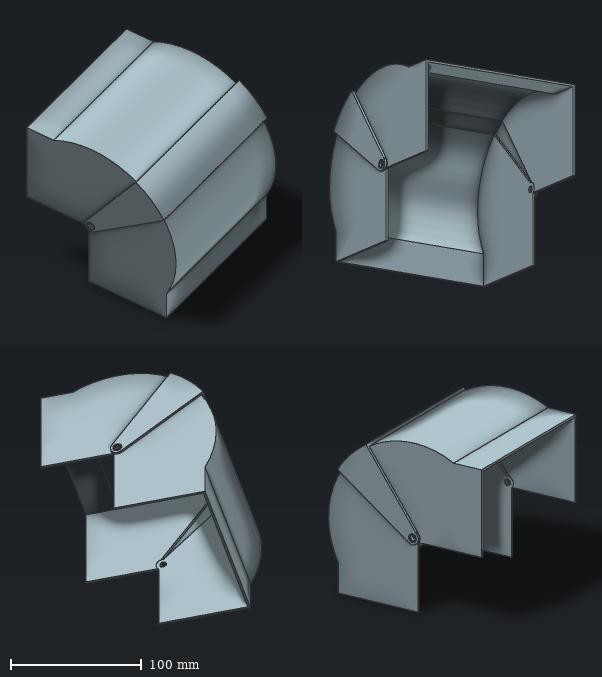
import cadquery as cq
import math

WALL = 1.8
CLEARANCE = 0.5
HOOD_WIDTH = 139.4
LEG_WIDTH = HOOD_WIDTH - 2 * (WALL + CLEARANCE)

LEG_RADIUS = 77.8
HOOD_RADIUS = LEG_RADIUS + CLEARANCE + WALL
ROOF_HEIGHT = 69.0
LEG_REACH = 61.2
SKIRT_DEPTH = 3.5

LUG_RADIUS = 5.5
HOOD_HOLE_RADIUS = 3.5
TRUNNION_RADIUS = 3.2
BORE_RADIUS = 2.5

HOOD_START = 35.6
HOOD_END = 90 - HOOD_START
INNER_LEG_EDGE = 44.2
INNER_EDGE_OFFSET = 3.5
WEB = 1.1


def direction(angle):
    """Unit X, Z vector at an angle from +Z."""
    return math.sin(math.radians(angle)), math.cos(math.radians(angle))


def edge_point(angle, offset, radius):
    """Point at a radius on a line parallel to a direction, offset to its left (right if negative)."""
    ux, uz = direction(angle)
    along = math.sqrt(radius**2 - offset**2)
    return along * ux - offset * uz, along * uz + offset * ux


def cylinder(radius, width):
    """Cylinder on the hinge axis, centred across Y."""
    return cq.Workplane("XZ").circle(radius).extrude(width / 2, both=True)


def leg_block(radius, roof, width, edge_angle, edge_offset):
    """Solid leg: flat roof, then an arc about the hinge up to a straight edge."""
    arc_start_x = -math.sqrt(radius**2 - roof**2)
    return (
        cq.Workplane("XZ")
        .moveTo(-LEG_REACH, -SKIRT_DEPTH)
        .lineTo(-LEG_REACH, roof)
        .lineTo(arc_start_x, roof)
        .threePointArc((0, radius), edge_point(edge_angle, edge_offset, radius))
        .lineTo(*edge_point(edge_angle, edge_offset, abs(edge_offset)))
        .lineTo(0, 0)
        .lineTo(0, -SKIRT_DEPTH)
        .close()
        .extrude(width / 2, both=True)
    )


def leg_shell(edge_angle, edge_offset):
    """Leg of sheet thickness, open at the mouth, below and at its curved end."""
    outside = leg_block(LEG_RADIUS, ROOF_HEIGHT, LEG_WIDTH, edge_angle, edge_offset)
    inside = leg_block(
        LEG_RADIUS - WALL, ROOF_HEIGHT - WALL, LEG_WIDTH - 2 * WALL, edge_angle, edge_offset
    )
    return outside.cut(inside)


def hood_sector(radius, width):
    """Sector with straight edges tangent to the rounded hinge lug."""
    mid_x, mid_z = direction((HOOD_START + HOOD_END) / 2)
    return (
        cq.Workplane("XZ")
        .moveTo(*edge_point(HOOD_START, LUG_RADIUS, LUG_RADIUS))
        .lineTo(*edge_point(HOOD_START, LUG_RADIUS, radius))
        .threePointArc((radius * mid_x, radius * mid_z), edge_point(HOOD_END, -LUG_RADIUS, radius))
        .lineTo(*edge_point(HOOD_END, -LUG_RADIUS, LUG_RADIUS))
        .threePointArc(
            (-LUG_RADIUS * mid_x, -LUG_RADIUS * mid_z),
            edge_point(HOOD_START, LUG_RADIUS, LUG_RADIUS),
        )
        .close()
        .extrude(width / 2, both=True)
    )


def make_outer_leg():
    """Leg opening toward -X, stepping outward into the hood."""
    edge_offset = LUG_RADIUS - WEB
    hood = hood_sector(HOOD_RADIUS, HOOD_WIDTH)
    hood = hood.cut(cylinder(HOOD_RADIUS - WALL, HOOD_WIDTH - 2 * WALL))

    step = leg_block(HOOD_RADIUS, ROOF_HEIGHT, HOOD_WIDTH, HOOD_START, edge_offset)
    step = step.intersect(hood_sector(HOOD_RADIUS, HOOD_WIDTH))
    step = step.cut(cylinder(LEG_RADIUS - WALL, LEG_WIDTH - 2 * WALL))

    lug_relief = cylinder(LUG_RADIUS, HOOD_WIDTH - 2 * WALL)
    leg = leg_shell(HOOD_START, edge_offset).union(step).cut(lug_relief)
    return leg.union(hood).cut(cylinder(HOOD_HOLE_RADIUS, HOOD_WIDTH))


def make_inner_leg():
    """Leg opening toward -Z, with lugs and tubular trunnions on the hinge axis."""
    inner_width = LEG_WIDTH - 2 * WALL
    lugs = cylinder(LUG_RADIUS, LEG_WIDTH).cut(cylinder(LUG_RADIUS, inner_width))
    trunnions = cylinder(TRUNNION_RADIUS, HOOD_WIDTH).cut(cylinder(TRUNNION_RADIUS, inner_width))
    leg = leg_shell(INNER_LEG_EDGE, -INNER_EDGE_OFFSET).union(lugs).union(trunnions)
    leg = leg.cut(cylinder(BORE_RADIUS, HOOD_WIDTH))
    return leg.rotate((0, 0, 0), (1, 0, 1), 180)


outer_leg = make_outer_leg()
inner_leg = make_inner_leg()
result = cq.Compound.makeCompound([outer_leg.val(), inner_leg.val()])